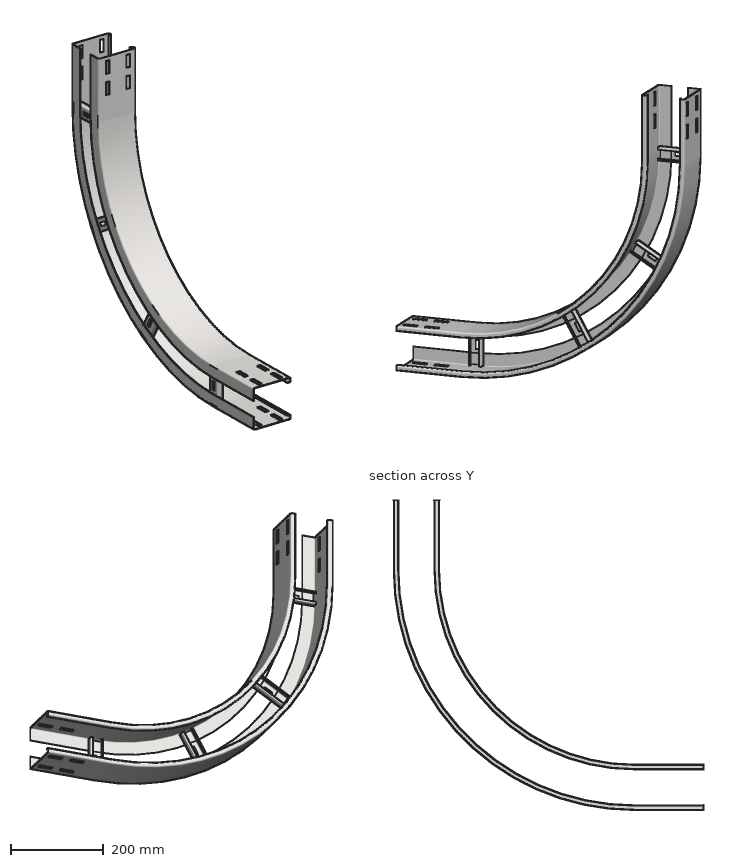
import cadquery as cq
import math

LEG_LENGTH = 150.0
OUTER_RADIUS = 670 - LEG_LENGTH
TRAY_HEIGHT = 100.0
INNER_RADIUS = OUTER_RADIUS - TRAY_HEIGHT
BEND_ANGLE = 90

RAIL_WIDTH = 100.0
SHEET = 2.0
FLANGE_DEPTH = 31.0
CORNER_RADIUS = 4.0
RETURN_DEPTH = 12.0
LIP_LENGTH = 9.5

SLOT_LENGTH = 30.0
SLOT_WIDTH = 9.0
SLOT_END_MARGIN = 10.0
SLOT_PITCH = 50.0
SLOT_FRONT_OFFSET = 25.0
SLOT_BACK_OFFSET = 20.0
SLOT_ROWS = (SLOT_FRONT_OFFSET, RAIL_WIDTH - SLOT_BACK_OFFSET)

RUNG_COUNT = 4
RUNG_LENGTH = 90.0
RUNG_WIDTH = 30.0
RUNG_DEPTH = 16.0
RUNG_LIP = 5.5
RUNG_SHEET = 1.5
RUNG_CORNER_RADIUS = 2.0
RUNG_SLOT_LENGTH = 20.0
RUNG_SLOT_WIDTH = 8.0


def rail_section(radius, inward):
    """Rail outline at the start of the bend; inward is +1 for the outer rail, -1 for the inner."""

    def point(depth, y):
        return (-radius + inward * depth, y)

    inside_radius = CORNER_RADIUS - SHEET
    outside_inset = CORNER_RADIUS - CORNER_RADIUS * math.sqrt(0.5)
    inside_inset = CORNER_RADIUS - inside_radius * math.sqrt(0.5)
    back_bend = RAIL_WIDTH - CORNER_RADIUS
    lip_bend = RETURN_DEPTH - CORNER_RADIUS
    lip_end = RAIL_WIDTH - LIP_LENGTH
    return (
        cq.Workplane("XY")
        .moveTo(*point(FLANGE_DEPTH, 0))
        .lineTo(*point(CORNER_RADIUS, 0))
        .threePointArc(point(outside_inset, outside_inset), point(0, CORNER_RADIUS))
        .lineTo(*point(0, back_bend))
        .threePointArc(point(outside_inset, RAIL_WIDTH - outside_inset), point(CORNER_RADIUS, RAIL_WIDTH))
        .lineTo(*point(lip_bend, RAIL_WIDTH))
        .threePointArc(
            point(RETURN_DEPTH - outside_inset, RAIL_WIDTH - outside_inset),
            point(RETURN_DEPTH, back_bend),
        )
        .lineTo(*point(RETURN_DEPTH, lip_end))
        .lineTo(*point(RETURN_DEPTH - SHEET, lip_end))
        .lineTo(*point(RETURN_DEPTH - SHEET, back_bend))
        .threePointArc(
            point(RETURN_DEPTH - inside_inset, RAIL_WIDTH - inside_inset),
            point(lip_bend, RAIL_WIDTH - SHEET),
        )
        .lineTo(*point(CORNER_RADIUS, RAIL_WIDTH - SHEET))
        .threePointArc(point(inside_inset, RAIL_WIDTH - inside_inset), point(SHEET, back_bend))
        .lineTo(*point(SHEET, CORNER_RADIUS))
        .threePointArc(point(inside_inset, inside_inset), point(CORNER_RADIUS, SHEET))
        .lineTo(*point(FLANGE_DEPTH, SHEET))
        .close()
    )


def about_bend_axis(body, angle):
    """Turn a body along the bend, from the vertical leg towards the horizontal one."""
    return body.rotate((0, 0, 0), (0, 1, 0), -angle)


def leg_slots(radius, inward, direction):
    """Cutters for the four slots of a leg that runs up (+1) or down (-1) from z = 0."""
    first_slot = LEG_LENGTH - SLOT_END_MARGIN - SLOT_LENGTH / 2
    centres = [
        (y, direction * (first_slot - step * SLOT_PITCH)) for y in SLOT_ROWS for step in range(2)
    ]
    return (
        cq.Workplane("YZ", origin=(-radius + inward * SHEET / 2, 0, 0))
        .pushPoints(centres)
        .rect(SLOT_WIDTH, SLOT_LENGTH)
        .extrude(SHEET, both=True)
    )


def rail_leg(radius, inward, direction):
    leg = rail_section(radius, inward).extrude(direction * LEG_LENGTH)
    return leg.cut(leg_slots(radius, inward, direction))


def make_rail(radius, inward):
    curve = rail_section(radius, inward).revolve(BEND_ANGLE, (0, 0, 0), (0, -1, 0))
    vertical_leg = rail_leg(radius, inward, 1)
    horizontal_leg = about_bend_axis(rail_leg(radius, inward, -1), BEND_ANGLE)
    return curve.union(vertical_leg, clean=False).union(horizontal_leg, clean=False)


def make_rung(angle):
    """Lipped channel open to the back, with one slot in the middle of its front face."""
    centre_radius = (OUTER_RADIUS + INNER_RADIUS) / 2
    front = SHEET
    start = -centre_radius - RUNG_LENGTH / 2
    channel = (
        cq.Workplane("YZ", origin=(start, front + RUNG_DEPTH / 2, 0))
        .rect(RUNG_DEPTH, RUNG_WIDTH)
        .extrude(RUNG_LENGTH)
        .edges("|X")
        .fillet(RUNG_CORNER_RADIUS)
    )
    hollow = (
        cq.Workplane("YZ", origin=(start, front + RUNG_DEPTH / 2, 0))
        .rect(RUNG_DEPTH - 2 * RUNG_SHEET, RUNG_WIDTH - 2 * RUNG_SHEET)
        .extrude(RUNG_LENGTH)
        .edges("|X")
        .fillet(RUNG_CORNER_RADIUS - RUNG_SHEET)
    )
    back_opening = cq.Workplane("XY").box(
        RUNG_LENGTH, RUNG_DEPTH, RUNG_WIDTH - 2 * RUNG_LIP
    ).translate((-centre_radius, front + RUNG_DEPTH, 0))
    slot = cq.Workplane("XY").box(RUNG_SLOT_LENGTH, 2 * RUNG_SHEET, RUNG_SLOT_WIDTH).translate(
        (-centre_radius, front, 0)
    )
    rung = channel.cut(hollow).cut(back_opening).cut(slot)
    return about_bend_axis(rung, angle)


outer_rail = make_rail(OUTER_RADIUS, 1)
inner_rail = make_rail(INNER_RADIUS, -1)
rungs = [make_rung(BEND_ANGLE * index / (RUNG_COUNT - 1)) for index in range(RUNG_COUNT)]

result = cq.Compound.makeCompound(
    [outer_rail.val(), inner_rail.val(), *[rung.val() for rung in rungs]]
)